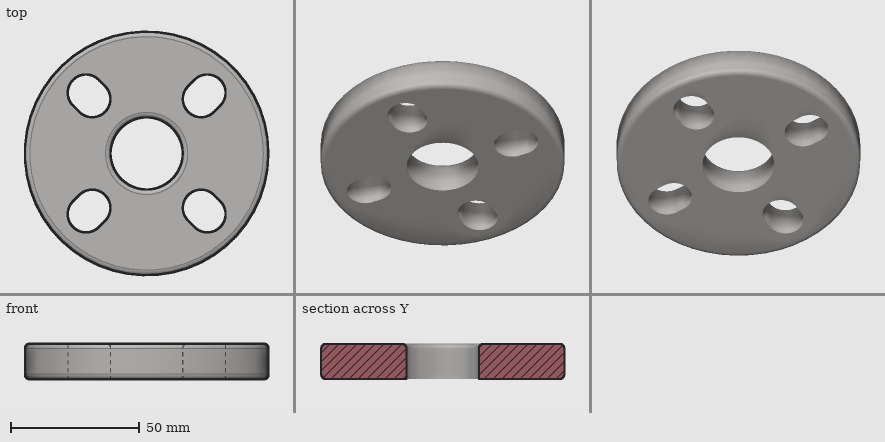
import cadquery as cq

outer_diameter = 95
thickness = 14.0
bore_diameter = 28.0
edge_radius = 2.0

slot_count = 4
slot_width = 14.2
slot_length = 17.6
slot_centre_radius = 31.7
first_slot_angle = 45

disc = (
    cq.Workplane("XY")
    .circle(outer_diameter / 2)
    .extrude(thickness)
    .edges("%CIRCLE")
    .fillet(edge_radius)
)

bore_top_rim = cq.selectors.RadiusNthSelector(0)
ring = (
    disc.cut(cq.Workplane("XY").circle(bore_diameter / 2).extrude(thickness))
    .faces(">Z")
    .edges(bore_top_rim)
    .fillet(edge_radius)
)

slots = (
    cq.Workplane("XY")
    .polarArray(slot_centre_radius, first_slot_angle, 360, slot_count)
    .slot2D(slot_length, slot_width)
    .extrude(thickness)
)

result = ring.cut(slots)